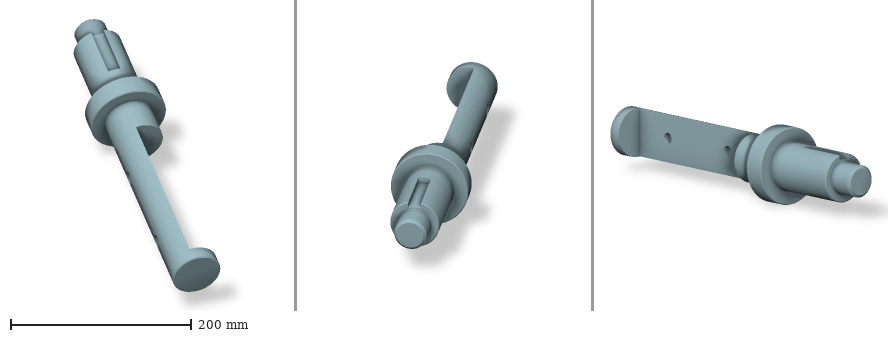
import cadquery as cq
import math

total_length = 389.8
stub_length = 28.5
flange_start = 119.0
flange_width = 24.0
flange_end = flange_start + flange_width

stub_radius = 18.5
shaft_radius = 27.5
flange_radius = 43.5

stub_chamfer = 3.0
shaft_chamfer = 1.0
flange_chamfer = 0.97
root_fillet = 1.0

keyway_length = 62.5
keyway_width = 14.5
keyway_floor = 20.3

cutout_start = 181.0
cutout_end = 374.5
cutout_floor = -3.7

hole_radius = 6.2
countersink_radius = 7.5
first_hole = 227.5
hole_spacing = 100.0
hole_count = 2
countersink_seat = math.sqrt(shaft_radius**2 - countersink_radius**2)


def cylinder_along_x(start, length, radius):
    return cq.Workplane("YZ", origin=(start, 0, 0)).circle(radius).extrude(length)


def box_between(x_range, y_range, z_range):
    """Box spanning a (low, high) range on each axis."""
    ranges = (x_range, y_range, z_range)
    sizes = [high - low for low, high in ranges]
    corner = tuple(low for low, high in ranges)
    return cq.Workplane("XY").box(*sizes, centered=False).translate(corner)


def root_ring(shoulder, radius, direction):
    """Concave fillet where a cylinder of the given radius meets a shoulder face."""
    far = shoulder + direction * root_fillet
    outer = radius + root_fillet
    profile = (
        cq.Workplane("XY")
        .moveTo(shoulder, 0)
        .lineTo(far, 0)
        .lineTo(far, radius)
        .radiusArc((shoulder, outer), direction * root_fillet)
        .close()
    )
    return profile.revolve(360, (0, 0, 0), (1, 0, 0))


def turned_body():
    stub = cylinder_along_x(0, stub_length, stub_radius).faces("<X").chamfer(stub_chamfer)
    shaft = cylinder_along_x(stub_length, total_length - stub_length, shaft_radius)
    shaft = shaft.faces(">X").chamfer(shaft_chamfer)
    shaft = shaft.faces("<X").chamfer(shaft_chamfer)
    flange = cylinder_along_x(flange_start, flange_width, flange_radius)
    flange = flange.faces("<X or >X").chamfer(flange_chamfer)
    body = stub.union(shaft).union(flange)
    body = body.union(root_ring(stub_length, stub_radius, -1))
    body = body.union(root_ring(flange_start, shaft_radius, -1))
    return body.union(root_ring(flange_end, shaft_radius, 1))


def keyway():
    return box_between(
        (stub_length, stub_length + keyway_length),
        (-keyway_width / 2, keyway_width / 2),
        (keyway_floor, shaft_radius),
    )


def side_cutout():
    return box_between(
        (cutout_start, cutout_end),
        (cutout_floor, shaft_radius),
        (-shaft_radius, shaft_radius),
    )


def countersunk_hole(center_x):
    """Hole along Y with a 45-degree countersink on the round side of the shaft."""
    countersink_depth = countersink_radius - hole_radius
    profile = (
        cq.Workplane("XY")
        .moveTo(0, -shaft_radius)
        .lineTo(countersink_radius, -shaft_radius)
        .lineTo(countersink_radius, -countersink_seat)
        .lineTo(hole_radius, -countersink_seat + countersink_depth)
        .lineTo(hole_radius, 0)
        .lineTo(0, 0)
        .close()
    )
    return profile.revolve(360, (0, 0, 0), (0, 1, 0)).translate((center_x, 0, 0))


result = turned_body().cut(keyway()).cut(side_cutout())
for index in range(hole_count):
    result = result.cut(countersunk_hole(first_hole + index * hole_spacing))